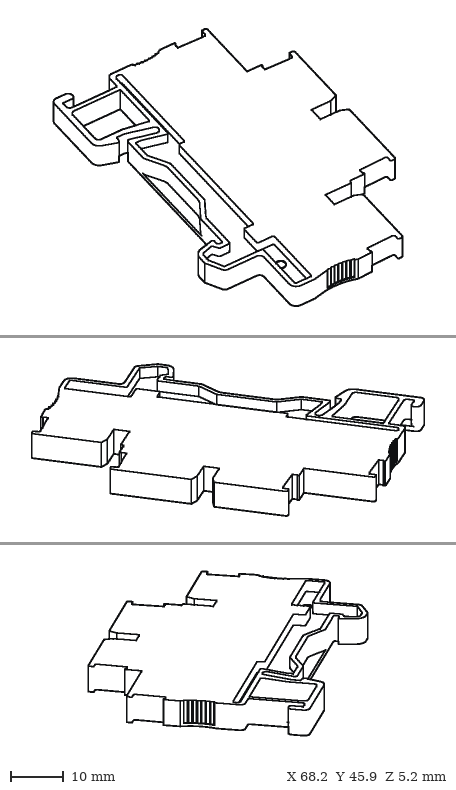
import cadquery as cq
import math

LENGTH = 68.15
HEIGHT = 45.85
THICKNESS = 5.2

POCKET_FLOOR = 3.0
WEB_FLOOR = 1.0
GRIP_FLOOR = 0.6
MARK_DEPTH = 0.2

LOWER_TIER_Y = 35.35
UPPER_LEFT_X = 14.0
UPPER_RIGHT_X = 49.5
LOWER_RIGHT_X = 68.0

HOOK_THICKNESS = 1.15
HOOK_SETBACK = 0.2
HOOK_RADIUS = 0.4
HOOK_TIP_RADIUS = 0.2
HOOK_ROOT_RADIUS = 0.4
NOTCH_DEPTH = 1.6
NOTCH_DRAFT = 0.2
NOTCH_FLOOR_DROP = 7.4
STEP_LIP = 0.2
STEP_LIP_WIDTH = 0.4

SLOT_WIDTH = 3.1
SLOT_DEPTH = 6.05
SLOT_MOUTH_HEIGHT = 1.65
SLOT_MOUTH_FLARE = 0.7
UPPER_SLOT_X = 29.4
LOWER_SLOT_X = 50.15

GRIP_TOP_Y = 24.9
GRIP_MIDDLE_Y = 20.6
GRIP_BOTTOM_Y = 17.9
GRIP_HOLLOW = 0.8
LEFT_INSET = 0.4
RIGHT_INSET = 0.65
TOOTH_COUNT = 7
TOOTH_PITCH = 0.85
TOOTH_DEPTH = 0.25
TOOTH_FLANK = 0.25
FIRST_TOOTH_Y = 18.3

WALL = 1.03
LEFT_UNDERSIDE_Y = 12.53
RIGHT_UNDERSIDE_Y = 10.27
RAIL_Y = 5.97
LEFT_CORNER_RADIUS = 1.0
RIGHT_CORNER_RADIUS = 1.6
RIGHT_LEG_X = 56.9
RIGHT_LEG_BOTTOM_Y = 2.1
RIGHT_FOOT_X = 53.05
RIGHT_TOE_X = 49.8
RIGHT_TIP_X = 48.65
RIGHT_TIP_Y = 4.8
RAIL_STOP_X = 50.2
LEG_RADIUS = 1.0
RAIL_STOP_RADIUS = 0.5
TOE_RADIUS = 2.0
EDGE_RADIUS = 0.3

POST_LEFT_X = 3.93
POST_RIGHT_X = 4.93
LEFT_HOOK_X = 0.2
LEFT_HOOK_TOP_Y = 4.15
LEFT_HOOK_INNER_X = 2.0
LEFT_HOOK_FLOOR_Y = 1.45
WEB_FILLET = 0.8

LEFT_HOOK_HEEL_RADIUS = 1.1
LEFT_HOOK_RADIUS = 1.0
LEFT_HOOK_INNER_RADIUS = 0.6
POST_BOTTOM_RADIUS = 0.7
POST_TOP_RADIUS = 0.35
LEFT_TOE_X = 15.3
LEFT_TOE_RADIUS = 1.8
LATCH_TIP_X = 16.85
LATCH_TIP_Y = 4.6
LATCH_TIP_RADIUS = 0.35
LATCH_ROOT_Y = 4.9
SPRING_RIGHT_X = 15.4
SPRING_BEND_Y = 6.6
SPRING_BEND_RADIUS = 2.0

RAIL_LEFT_X = 17.0
RAIL_CORNER_RADIUS = 0.5
SPRING_SLOT_LEFT_X = 17.1
SPRING_SLOT_RIGHT_X = 18.8
SPRING_SLOT_TOP_Y = 12.8
SPRING_SLOT_LEFT_RADIUS = 0.7
SPRING_SLOT_RIGHT_RADIUS = 0.85

WINDOW_BOTTOM_Y = 1.27
WINDOW_RIGHT_X = 14.15
WINDOW_TOP_RIGHT_X = 15.15
WINDOW_BEND_Y = 7.0
WINDOW_RADIUS = 0.8

POCKET_TOP_Y = 15.02
POCKET_STEP_Y = 13.6
POCKET_NOTCH_Y = 11.3
POCKET_LEFT_X = 18.6
POCKET_BEND_Y = 8.2
POCKET_SHOULDER_X = 20.0
POCKET_STEP_X = 23.4
POCKET_NOTCH_LEFT_X = 49.3
POCKET_NOTCH_RIGHT_X = 54.03
POCKET_TOE_X = 50.75
POCKET_TOE_RADIUS = 0.6
POCKET_TIP_X = 49.9
POCKET_TIP_Y = 3.7
POCKET_THROAT_Y = 4.55
POCKET_CORNER = 0.3
POCKET_END_UPPER_RADIUS = 0.5
POCKET_END_LOWER_RADIUS = 0.7

RELIEF_LEFT_X = 22.95
RELIEF_RIGHT_X = 42.65
RELIEF_RUN = 4.18
RELIEF_TOP_Y = 8.42
RELIEF_MOUTH_RADIUS = 1.0
RELIEF_INNER_RADIUS = 2.4

MARK_DIAMETER = 2.0
MARK_X = 59.35
MARK_Y = 13.12


def tangent_points(before, corner, after, radius):
    """Start, middle and end of the arc that rounds a corner."""
    cx, cy = corner
    ux, uy = before[0] - cx, before[1] - cy
    vx, vy = after[0] - cx, after[1] - cy
    u_length, v_length = math.hypot(ux, uy), math.hypot(vx, vy)
    ux, uy, vx, vy = ux / u_length, uy / u_length, vx / v_length, vy / v_length
    half_angle = math.acos(ux * vx + uy * vy) / 2
    setback = radius / math.tan(half_angle)
    bx, by = ux + vx, uy + vy
    b_length = math.hypot(bx, by)
    reach = radius / math.sin(half_angle) - radius
    start = (cx + ux * setback, cy + uy * setback)
    middle = (cx + bx / b_length * reach, cy + by / b_length * reach)
    end = (cx + vx * setback, cy + vy * setback)
    return start, middle, end


def rounded_prism(corners, bottom, top):
    """Prism over a closed outline of (x, y) or (x, y, radius) corners."""
    stretches = []
    for i, corner in enumerate(corners):
        point = corner[:2]
        if len(corner) == 2:
            stretches.append((point,))
        else:
            following = corners[(i + 1) % len(corners)]
            stretches.append(tangent_points(corners[i - 1][:2], point, following[:2], corner[2]))
    outline = cq.Workplane("XY", origin=(0, 0, bottom)).moveTo(*stretches[0][-1])
    for stretch in stretches[1:] + stretches[:1]:
        outline = outline.lineTo(*stretch[0])
        if len(stretch) == 3:
            outline = outline.threePointArc(stretch[1], stretch[2])
    return outline.close().extrude(top - bottom)


def tier_end(end_x, hook_setback, top_y, side):
    """Corners of a clip notch from top to step; side is -1 for a left end, 1 for a right end."""
    hook_x = end_x - side * hook_setback
    notch_x = end_x - side * NOTCH_DEPTH
    floor_y = top_y - NOTCH_FLOOR_DROP
    lip_x = end_x - side * STEP_LIP_WIDTH
    return [
        (hook_x, top_y, HOOK_RADIUS),
        (hook_x, top_y - HOOK_THICKNESS, HOOK_TIP_RADIUS),
        (notch_x, top_y - HOOK_THICKNESS, HOOK_ROOT_RADIUS),
        (notch_x + side * NOTCH_DRAFT, floor_y),
        (lip_x, floor_y),
        (lip_x, floor_y + STEP_LIP),
        (end_x, floor_y + STEP_LIP),
    ]


def slot(left_x, top_y):
    """Screwdriver slot corners, from the left mouth to the right mouth."""
    right_x = left_x + SLOT_WIDTH
    shoulder_y = top_y - SLOT_MOUTH_HEIGHT
    return [
        (left_x - SLOT_MOUTH_FLARE, top_y),
        (left_x, shoulder_y),
        (left_x, top_y - SLOT_DEPTH),
        (right_x, top_y - SLOT_DEPTH),
        (right_x, shoulder_y),
        (right_x + SLOT_MOUTH_FLARE, top_y),
    ]


def body():
    """Full-thickness plate, clockwise from the lower left corner of the block."""
    left_block = [
        (LEFT_INSET, LEFT_UNDERSIDE_Y, LEFT_CORNER_RADIUS),
        (LEFT_INSET, GRIP_BOTTOM_Y),
        (0, GRIP_TOP_Y),
    ]
    left_end = tier_end(0, 0, LOWER_TIER_Y, -1)[::-1]
    upper_tier = (
        [(UPPER_LEFT_X, LOWER_TIER_Y)]
        + tier_end(UPPER_LEFT_X, HOOK_SETBACK, HEIGHT, -1)[::-1]
        + slot(UPPER_SLOT_X, HEIGHT)
        + tier_end(UPPER_RIGHT_X, HOOK_SETBACK, HEIGHT, 1)
        + [(UPPER_RIGHT_X, LOWER_TIER_Y), (LOWER_SLOT_X, LOWER_TIER_Y - STEP_LIP)]
    )
    right_block = (
        slot(LOWER_SLOT_X, LOWER_TIER_Y)[2:]
        + tier_end(LOWER_RIGHT_X, HOOK_SETBACK, LOWER_TIER_Y, 1)
        + [
            (LENGTH, GRIP_TOP_Y),
            (LENGTH - RIGHT_INSET, GRIP_BOTTOM_Y),
            (LENGTH, POCKET_TOP_Y),
            (LENGTH, RIGHT_UNDERSIDE_Y, RIGHT_CORNER_RADIUS),
        ]
    )
    right_foot = [
        (RIGHT_LEG_X, RIGHT_UNDERSIDE_Y, LEG_RADIUS),
        (RIGHT_LEG_X, RIGHT_LEG_BOTTOM_Y, LEG_RADIUS),
        (RIGHT_FOOT_X, 0),
        (RIGHT_TOE_X, 0, TOE_RADIUS),
        (RIGHT_TIP_X, RIGHT_TIP_Y, EDGE_RADIUS),
        (RAIL_STOP_X, RIGHT_TIP_Y, RAIL_STOP_RADIUS),
        (RAIL_STOP_X, RAIL_Y, EDGE_RADIUS),
    ]
    spring_foot = [
        (RAIL_LEFT_X, RAIL_Y, RAIL_CORNER_RADIUS),
        (SPRING_SLOT_RIGHT_X, SPRING_SLOT_TOP_Y, SPRING_SLOT_RIGHT_RADIUS),
        (SPRING_SLOT_LEFT_X, SPRING_SLOT_TOP_Y, SPRING_SLOT_LEFT_RADIUS),
        (SPRING_RIGHT_X, SPRING_BEND_Y, SPRING_BEND_RADIUS),
        (SPRING_RIGHT_X, LATCH_ROOT_Y),
        (LATCH_TIP_X, LATCH_TIP_Y, LATCH_TIP_RADIUS),
        (LEFT_TOE_X, 0, LEFT_TOE_RADIUS),
        (LEFT_HOOK_X, 0, LEFT_HOOK_HEEL_RADIUS),
        (LEFT_HOOK_X, LEFT_HOOK_TOP_Y, LEFT_HOOK_RADIUS),
        (LEFT_HOOK_INNER_X, LEFT_HOOK_TOP_Y, LEFT_HOOK_INNER_RADIUS),
        (LEFT_HOOK_INNER_X, LEFT_HOOK_FLOOR_Y),
        (POST_LEFT_X, LEFT_HOOK_FLOOR_Y, POST_BOTTOM_RADIUS),
        (POST_LEFT_X, LEFT_UNDERSIDE_Y, POST_TOP_RADIUS),
    ]
    corners = left_block + left_end + upper_tier + right_block + right_foot + spring_foot
    return rounded_prism(corners, 0, THICKNESS)


def foot_window():
    """Opening through the spring foot, right of its post."""
    return rounded_prism(
        [
            (POST_RIGHT_X, WINDOW_BOTTOM_Y, WINDOW_RADIUS),
            (WINDOW_RIGHT_X, WINDOW_BOTTOM_Y, WINDOW_RADIUS),
            (WINDOW_RIGHT_X, WINDOW_BEND_Y, SPRING_BEND_RADIUS),
            (WINDOW_TOP_RIGHT_X, LEFT_UNDERSIDE_Y, EDGE_RADIUS),
            (POST_RIGHT_X, LEFT_UNDERSIDE_Y),
        ],
        0,
        THICKNESS,
    )


def hook_web():
    """Thin web that closes the gap between the left hook and its post."""
    return rounded_prism(
        [
            (LEFT_HOOK_X + LEFT_HOOK_RADIUS, LEFT_HOOK_FLOOR_Y - WALL),
            (POST_LEFT_X + WALL / 2, LEFT_HOOK_FLOOR_Y - WALL),
            (POST_LEFT_X + WALL / 2, LEFT_HOOK_TOP_Y + WALL),
            (POST_LEFT_X, LEFT_HOOK_TOP_Y + WALL),
            (POST_LEFT_X, LEFT_HOOK_TOP_Y, WEB_FILLET),
            (LEFT_HOOK_X + LEFT_HOOK_RADIUS, LEFT_HOOK_TOP_Y),
        ],
        0,
        WEB_FLOOR,
    )


def pocket():
    """Pocket in the front face that leaves a wall along the rail edge and the right foot."""
    floor_y = RAIL_Y + WALL
    relief_y = RELIEF_TOP_Y + WALL
    return rounded_prism(
        [
            (LEFT_INSET + WALL, POCKET_TOP_Y, POCKET_END_UPPER_RADIUS),
            (POCKET_STEP_X, POCKET_TOP_Y, POCKET_CORNER),
            (POCKET_STEP_X, POCKET_STEP_Y, POCKET_CORNER),
            (POCKET_NOTCH_LEFT_X, POCKET_STEP_Y, POCKET_CORNER),
            (POCKET_NOTCH_LEFT_X, POCKET_NOTCH_Y, POCKET_CORNER),
            (POCKET_NOTCH_RIGHT_X, POCKET_NOTCH_Y, POCKET_CORNER),
            (POCKET_NOTCH_RIGHT_X, POCKET_TOP_Y, POCKET_CORNER),
            (LENGTH - WALL, POCKET_TOP_Y, POCKET_CORNER),
            (LENGTH - WALL, RIGHT_UNDERSIDE_Y + WALL, POCKET_CORNER),
            (RIGHT_LEG_X - WALL, RIGHT_UNDERSIDE_Y + WALL, POCKET_CORNER),
            (RIGHT_LEG_X - WALL, RIGHT_LEG_BOTTOM_Y + WALL / 2),
            (RIGHT_FOOT_X - WALL / 4, WALL),
            (POCKET_TOE_X, WALL, POCKET_TOE_RADIUS),
            (POCKET_TIP_X, POCKET_TIP_Y, POCKET_CORNER),
            (RAIL_STOP_X + WALL, POCKET_THROAT_Y, POCKET_CORNER),
            (RAIL_STOP_X + WALL, floor_y, POCKET_CORNER),
            (RELIEF_RIGHT_X + WALL / 4, floor_y),
            (RELIEF_RIGHT_X - RELIEF_RUN + WALL / 4, relief_y),
            (RELIEF_LEFT_X + RELIEF_RUN - WALL / 4, relief_y),
            (RELIEF_LEFT_X - WALL / 4, floor_y),
            (POCKET_LEFT_X, floor_y),
            (POCKET_LEFT_X, POCKET_BEND_Y),
            (POCKET_SHOULDER_X, POCKET_STEP_Y, POCKET_CORNER),
            (LEFT_INSET + WALL, POCKET_STEP_Y, POCKET_END_LOWER_RADIUS),
        ],
        POCKET_FLOOR,
        THICKNESS,
    )


def rail_relief():
    """Trapezoidal recess, open toward the rail."""
    return rounded_prism(
        [
            (RELIEF_LEFT_X - WALL, RAIL_Y - WALL),
            (RELIEF_LEFT_X - WALL, RAIL_Y),
            (RELIEF_LEFT_X, RAIL_Y, RELIEF_MOUTH_RADIUS),
            (RELIEF_LEFT_X + RELIEF_RUN, RELIEF_TOP_Y, RELIEF_INNER_RADIUS),
            (RELIEF_RIGHT_X - RELIEF_RUN, RELIEF_TOP_Y, RELIEF_INNER_RADIUS),
            (RELIEF_RIGHT_X, RAIL_Y, RELIEF_MOUTH_RADIUS),
            (RELIEF_RIGHT_X + WALL, RAIL_Y),
            (RELIEF_RIGHT_X + WALL, RAIL_Y - WALL),
        ],
        WEB_FLOOR,
        THICKNESS,
    )


def grip_hollow(inset):
    """Shallow arc cut into the left end; it meets the lower corner at the given inset."""
    return (
        cq.Workplane("XY")
        .moveTo(0, GRIP_TOP_Y)
        .threePointArc((GRIP_HOLLOW, GRIP_MIDDLE_Y), (inset, GRIP_BOTTOM_Y))
        .lineTo(-GRIP_HOLLOW, GRIP_BOTTOM_Y)
        .lineTo(-GRIP_HOLLOW, GRIP_TOP_Y)
        .close()
        .extrude(THICKNESS)
    )


def grip_teeth():
    """Cutter for the sawtooth grooves in the left hollow, which stop at a plain strip at the back."""
    grooves = cq.Workplane("XY")
    for i in range(TOOTH_COUNT):
        low_y = FIRST_TOOTH_Y + i * TOOTH_PITCH
        middle_y = low_y + TOOTH_PITCH / 2
        offset = (middle_y - GRIP_MIDDLE_Y) / (GRIP_TOP_Y - GRIP_MIDDLE_Y)
        surface_x = GRIP_HOLLOW * (1 - offset**2)
        groove = rounded_prism(
            [
                (surface_x - TOOTH_DEPTH, low_y),
                (surface_x, low_y),
                (surface_x + TOOTH_DEPTH, low_y + TOOTH_FLANK),
                (surface_x + TOOTH_DEPTH / 2, low_y + TOOTH_PITCH),
                (surface_x - TOOTH_DEPTH, low_y + TOOTH_PITCH),
            ],
            GRIP_FLOOR,
            THICKNESS,
        )
        grooves = grooves.add(groove)
    return grooves.combine()


def mirrored_to_right(shape):
    """The shape mirrored from the left end to the right end."""
    return shape.mirror("YZ", (LENGTH / 2, 0, 0))


def mark_hole():
    """Shallow round recess in the pocket floor."""
    return (
        cq.Workplane("XY", origin=(MARK_X, MARK_Y, POCKET_FLOOR - MARK_DEPTH))
        .circle(MARK_DIAMETER / 2)
        .extrude(MARK_DEPTH)
    )


result = body().cut(foot_window()).union(hook_web()).cut(pocket()).cut(rail_relief()).cut(mark_hole())
result = result.cut(grip_hollow(LEFT_INSET)).cut(mirrored_to_right(grip_hollow(RIGHT_INSET)))
result = result.cut(grip_teeth()).cut(mirrored_to_right(grip_teeth()))